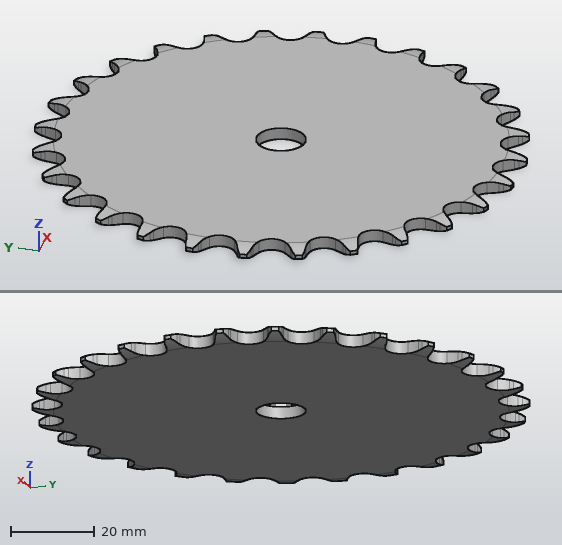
import math
import cadquery as cq

tooth_count = 28
chain_pitch = 12.7
roller_diameter = 7.75
plate_thickness = 3.0
bore_diameter = 12.0
outer_radius = 59.7
bevel_length = 5.0
bevel_radius = 13.0
cutter_overrun = 0.5

tooth_angle = 360 / tooth_count
pitch_radius = chain_pitch / (2 * math.sin(math.pi / tooth_count))
half_thickness = plate_thickness / 2
bevel_start_radius = outer_radius - bevel_length

seat_clearance = 0.0381
seat_radius = 0.5025 * roller_diameter + seat_clearance
seat_angle = 35 + 60 / tooth_count
working_angle = 18 - 56 / tooth_count
working_center_distance = 0.8 * roller_diameter
working_radius = seat_radius + working_center_distance
topping_angle = 17 - 64 / tooth_count
topping_center_distance = 1.4 * roller_diameter
straight_length = (
    topping_center_distance * math.sin(math.radians(topping_angle))
    - working_center_distance * math.sin(math.radians(working_angle))
)
topping_radius = (
    working_center_distance * math.cos(math.radians(working_angle))
    + topping_center_distance * math.cos(math.radians(topping_angle))
    - working_radius
)


def bevel_drop(distance):
    """Inward depth of the side bevel at a radial distance past its start."""
    return bevel_radius - math.sqrt(bevel_radius**2 - distance**2)


def make_blank():
    """Revolved disc whose rim is narrowed on both sides by tangent arcs."""
    tip_half_thickness = half_thickness - bevel_drop(bevel_length)
    mid_radius = bevel_start_radius + bevel_length / 2
    mid_half_thickness = half_thickness - bevel_drop(bevel_length / 2)
    return (
        cq.Workplane("XZ")
        .moveTo(0, -half_thickness)
        .lineTo(bevel_start_radius, -half_thickness)
        .threePointArc((mid_radius, -mid_half_thickness), (outer_radius, -tip_half_thickness))
        .lineTo(outer_radius, tip_half_thickness)
        .threePointArc((mid_radius, mid_half_thickness), (bevel_start_radius, half_thickness))
        .lineTo(0, half_thickness)
        .close()
        .revolve(360, (0, 0, 0), (0, 1, 0))
    )


def point_on_arc(center, radius, angle):
    """Point at an angle (degrees, from +X toward +Y) on a circle."""
    return (
        center[0] + radius * math.cos(math.radians(angle)),
        center[1] + radius * math.sin(math.radians(angle)),
    )


def circle_y_at(center, radius, x):
    """Lower of the two Y values where a circle passes a given X."""
    return center[1] - math.sqrt(radius**2 - (x - center[0]) ** 2)


def mirrored(point):
    """Reflect a point across the gap centre line (the X axis)."""
    return (point[0], -point[1])


def make_gap_cutter():
    """ANSI tooth gap on the +X axis: on each side a roller seat arc, a wider
    working arc, a short straight and a convex topping arc, all tangent."""
    seat_center = (pitch_radius, 0)
    seat_bottom = (pitch_radius - seat_radius, 0)
    seat_end_angle = 90 + seat_angle
    seat_end = point_on_arc(seat_center, seat_radius, seat_end_angle)

    working_center = point_on_arc(seat_center, -working_center_distance, seat_end_angle)
    working_end_angle = seat_end_angle - working_angle
    working_mid = point_on_arc(working_center, working_radius, seat_end_angle - working_angle / 2)
    working_end = point_on_arc(working_center, working_radius, working_end_angle)

    straight_end = point_on_arc(working_end, straight_length, working_end_angle - 90)

    topping_center = point_on_arc(straight_end, topping_radius, working_end_angle)
    cutter_end_x = outer_radius + cutter_overrun
    cutter_end = (cutter_end_x, circle_y_at(topping_center, topping_radius, cutter_end_x))
    topping_mid_x = (straight_end[0] + cutter_end_x) / 2
    topping_mid = (topping_mid_x, circle_y_at(topping_center, topping_radius, topping_mid_x))

    return (
        cq.Workplane("XY")
        .workplane(offset=-half_thickness)
        .moveTo(*mirrored(cutter_end))
        .threePointArc(mirrored(topping_mid), mirrored(straight_end))
        .lineTo(*mirrored(working_end))
        .threePointArc(mirrored(working_mid), mirrored(seat_end))
        .threePointArc(seat_bottom, seat_end)
        .threePointArc(working_mid, working_end)
        .lineTo(*straight_end)
        .threePointArc(topping_mid, cutter_end)
        .close()
        .extrude(plate_thickness)
    )


def cut_tooth_gaps(blank):
    """Cut one gap per tooth around the rim."""
    gap = make_gap_cutter()
    for index in range(tooth_count):
        blank = blank.cut(gap.rotate((0, 0, 0), (0, 0, 1), index * tooth_angle))
    return blank


def cut_bore(body):
    """Plain through bore on the axis."""
    bore = (
        cq.Workplane("XY")
        .workplane(offset=-half_thickness)
        .circle(bore_diameter / 2)
        .extrude(plate_thickness)
    )
    return body.cut(bore)


result = cut_bore(cut_tooth_gaps(make_blank()))